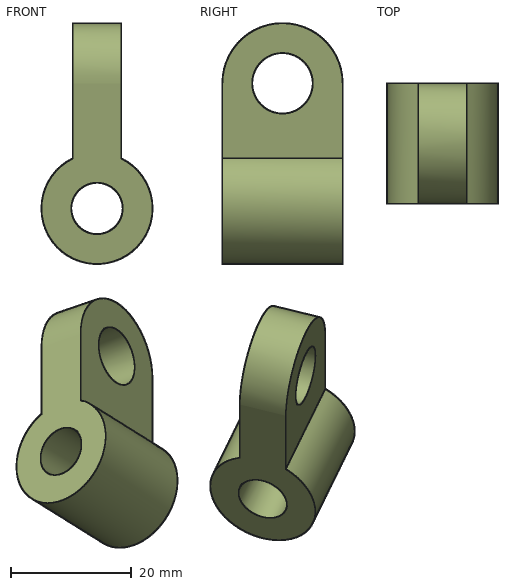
import cadquery as cq

height = 39.97
width = 20.0

barrel_diameter = 18.45
barrel_bore = 8.47

lug_thickness = 8.1
lug_radius = width / 2
lug_hole = 10.0
lug_hole_z = height - barrel_diameter / 2 - lug_radius


def cylinder_along_y(diameter):
    return cq.Workplane("XZ").circle(diameter / 2).extrude(width / 2, both=True)


def make_lug():
    """Plate rising from the barrel axis to a full-round end."""
    return (
        cq.Workplane("YZ")
        .moveTo(-lug_radius, 0)
        .lineTo(-lug_radius, lug_hole_z)
        .threePointArc((0, lug_hole_z + lug_radius), (lug_radius, lug_hole_z))
        .lineTo(lug_radius, 0)
        .close()
        .extrude(lug_thickness / 2, both=True)
    )


def make_lug_hole():
    return (
        cq.Workplane("YZ")
        .center(0, lug_hole_z)
        .circle(lug_hole / 2)
        .extrude(lug_thickness / 2, both=True)
    )


body = cylinder_along_y(barrel_diameter).union(make_lug())
result = body.cut(cylinder_along_y(barrel_bore)).cut(make_lug_hole())